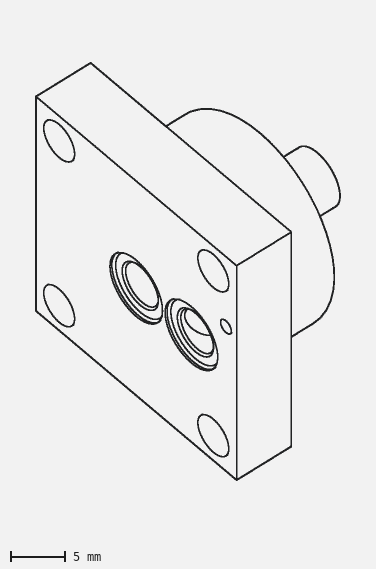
import cadquery as cq
import math

plate_side = 28.32
plate_thickness = 6.6

overall_depth = 21.83
housing_diameter = 22.5
housing_length = 8.52
housing_edge_radius = 1.55
stem_diameter = 6.4
stem_start = plate_thickness + housing_length

mount_hole_diameter = 4.35
mount_hole_spacing = 21.75
pin_hole_diameter = 1.53
pin_hole_x = 12.65
pin_hole_z = 4.93

port_spacing = 7.8
seat_mouth_diameter = 7.42
seat_floor_diameter = 6.95
seat_rim_depth = 0.23
seat_depth = 0.48
bore_diameter = 4.65
bore_mouth_chamfer = 0.23
bore_start = seat_depth + bore_mouth_chamfer
slant_diameter = 3.62
slant_angle = 28.0


def cylinder(diameter, start, end, x=0.0, z=0.0):
    """Cylinder along +Y from Y = start to Y = end."""
    return cq.Workplane(
        cq.Solid.makeCylinder(diameter / 2, end - start, cq.Vector(x, start, z), cq.Vector(0, 1, 0))
    )


def cone(start_diameter, end_diameter, start, end, x):
    """Tapered disc along +Y from Y = start to Y = end."""
    return cq.Workplane(
        cq.Solid.makeCone(
            start_diameter / 2, end_diameter / 2, end - start, cq.Vector(x, start, 0), cq.Vector(0, 1, 0)
        )
    )


def port_mouth(x):
    """Seal seat, straight at the rim and tapered to its floor, with the chamfered bore mouth."""
    rim = cylinder(seat_mouth_diameter, 0, seat_rim_depth, x)
    taper = cone(seat_mouth_diameter, seat_floor_diameter, seat_rim_depth, seat_depth, x)
    mouth_diameter = bore_diameter + 2 * bore_mouth_chamfer
    mouth = cone(mouth_diameter, bore_diameter, seat_depth, bore_start, x)
    return rim.union(taper).union(mouth)


def side_passage():
    """Rounded pocket under the side port and the slanted passage that joins it to the central bore."""
    start = cq.Vector(port_spacing, bore_start, 0)
    ball = cq.Workplane("XY").sphere(bore_diameter / 2).translate(start)
    angle = math.radians(slant_angle)
    direction = cq.Vector(-math.sin(angle), math.cos(angle), 0)
    length = port_spacing / math.sin(angle)
    slant = cq.Solid.makeCylinder(slant_diameter / 2, length, start, direction)
    return ball.union(cq.Workplane(slant))


plate = cq.Workplane("XY").box(plate_side, plate_thickness, plate_side).translate((0, plate_thickness / 2, 0))
housing = cylinder(housing_diameter, plate_thickness, stem_start).faces(">Y").edges().fillet(housing_edge_radius)
stem = cylinder(stem_diameter, stem_start, overall_depth)
result = plate.union(housing).union(stem)

half_spacing = mount_hole_spacing / 2
for x in (-half_spacing, half_spacing):
    for z in (-half_spacing, half_spacing):
        result = result.cut(cylinder(mount_hole_diameter, 0, plate_thickness, x, z))
result = result.cut(cylinder(pin_hole_diameter, 0, plate_thickness, pin_hole_x, pin_hole_z))

result = result.cut(port_mouth(0)).cut(cylinder(bore_diameter, bore_start, overall_depth))
result = result.cut(port_mouth(port_spacing))
result = result.cut(side_passage())